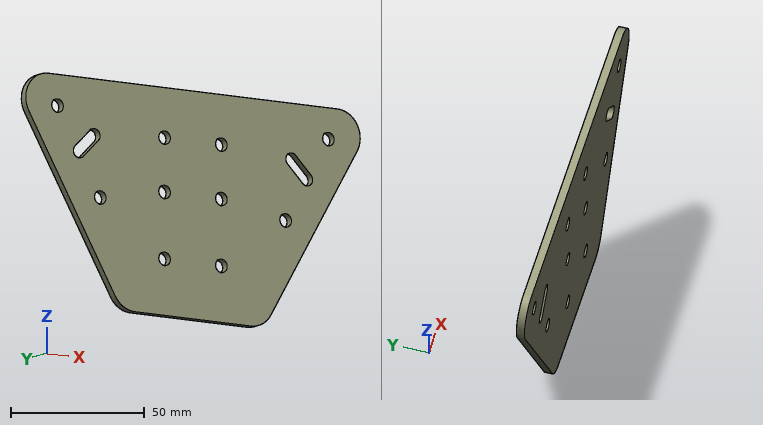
import cadquery as cq
import math

overall_width = 148.89
height = 86.83
thickness = 3.175
corner_radius = 10.16
side_angle = 60.0

hole_diameter = 5.1
grid_half_spacing = 12.63
grid_depths = (19.1, 39.8, 65.3)
outer_hole_offset = 60.3
outer_hole_depth = 11.95
side_hole_pitch = 38.1

slot_offset = 47.3
slot_depth = 24.9
slot_width = hole_diameter
slot_travel = 9.525
slot_angle = 45.0

side_run = math.cos(math.radians(side_angle))
side_rise = math.sin(math.radians(side_angle))
half_angle = math.radians(side_angle / 2)

top_half_width = overall_width / 2 - corner_radius + corner_radius / math.tan(half_angle)
bottom_half_width = top_half_width - height * side_run / side_rise


def make_plate():
    """Rounded trapezoid in the XZ plane, top edge at Z = 0, front face at Y = 0."""
    return (
        cq.Workplane("XZ")
        .polyline([
            (-top_half_width, 0),
            (top_half_width, 0),
            (bottom_half_width, -height),
            (-bottom_half_width, -height),
        ])
        .close()
        .extrude(-thickness)
        .edges("|Y")
        .fillet(corner_radius)
    )


def make_hole_cutters():
    """Pins for the central hole grid and for the two holes along each side."""
    inner_hole_offset = outer_hole_offset - side_hole_pitch * side_run
    inner_hole_depth = outer_hole_depth + side_hole_pitch * side_rise
    places = [(grid_half_spacing, depth) for depth in grid_depths]
    places.append((outer_hole_offset, outer_hole_depth))
    places.append((inner_hole_offset, inner_hole_depth))
    points = [(side * offset, -depth) for side in (-1, 1) for offset, depth in places]
    return cq.Workplane("XZ").pushPoints(points).circle(hole_diameter / 2).extrude(-thickness)


def make_slot_cutter(side):
    """Inclined slot; side is -1 for the -X half and 1 for the +X half."""
    return (
        cq.Workplane("XZ")
        .center(side * slot_offset, -slot_depth)
        .slot2D(slot_travel + slot_width, slot_width, -side * slot_angle)
        .extrude(-thickness)
    )


result = make_plate().cut(make_hole_cutters())
for side in (-1, 1):
    result = result.cut(make_slot_cutter(side))